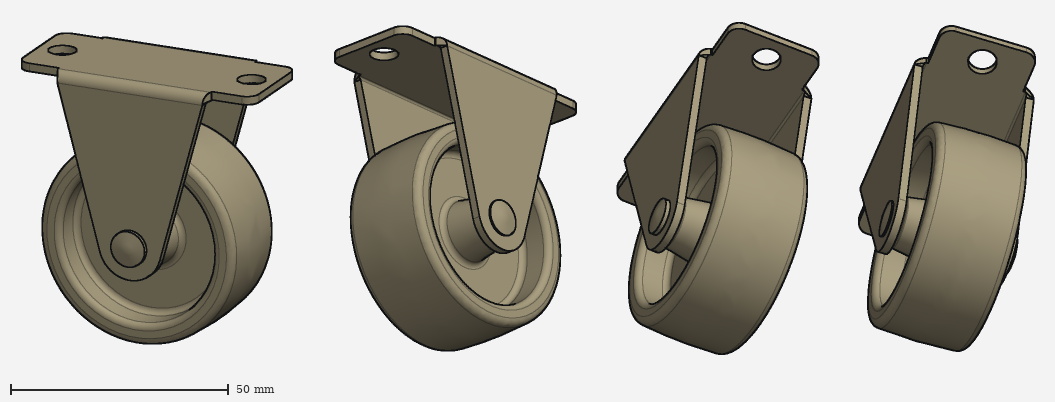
import cadquery as cq
import math


tread_radius = 25.0
tread_crown = 0.5
wheel_width = 22.05
tread_edge_fillet = 1.8
rim_mouth_radius = 19.45
rim_mouth_fillet = 1.55

web_thickness = 5.85
web_fillet = 1.4
hub_root_radius = 7.55
hub_end_radius = 6.1
hub_length = 23.5
hub_end_fillet = 0.2

sheet = 2.0
bend_inner_radius = 0.5
bend_outer_radius = bend_inner_radius + sheet
bracket_width = 29.2
plate_length = 60.0
plate_width = 23.2
plate_corner_radius = 3.0
top_height = 40.0
mount_hole_diameter = 6.6
mount_hole_spacing = 48.1
bend_half_length = 19.5
leg_top_half_length = 18.45
leg_end_radius = 7.85

shank_radius = 3.1
head_radius = 4.3
front_head_rim = 1.1
back_head_rim = 0.4
head_cone_height = 0.9


def fillet_circles(body, radius, half_width, size):
    """Round the two circular edges of a given radius at Y = -half_width and +half_width."""
    margin = 0.005
    for y in (-half_width, half_width):
        box = cq.selectors.BoxSelector(
            (-radius - margin, y - margin, -radius - margin),
            (radius + margin, y + margin, radius + margin),
            boundingbox=True,
        )
        outermost = cq.selectors.RadiusNthSelector(-1)
        body = body.newObject([body.edges(box).edges(outermost).val()]).fillet(size)
    return body


def make_wheel():
    """Crowned tyre, dished rim, web and tapered hub, turned as one profile about the Y axis."""
    half_width = wheel_width / 2
    half_web = web_thickness / 2
    half_hub = hub_length / 2
    shoulder_radius = tread_radius - tread_crown
    wheel = (
        cq.Workplane("XY")
        .moveTo(shank_radius, -half_hub)
        .lineTo(hub_end_radius, -half_hub)
        .lineTo(hub_root_radius, -half_web)
        .lineTo(rim_mouth_radius, -half_web)
        .lineTo(rim_mouth_radius, -half_width)
        .lineTo(shoulder_radius, -half_width)
        .threePointArc((tread_radius, 0), (shoulder_radius, half_width))
        .lineTo(rim_mouth_radius, half_width)
        .lineTo(rim_mouth_radius, half_web)
        .lineTo(hub_root_radius, half_web)
        .lineTo(hub_end_radius, half_hub)
        .lineTo(shank_radius, half_hub)
        .close()
        .revolve(360, (0, 0, 0), (0, 1, 0))
    )
    wheel = fillet_circles(wheel, shoulder_radius, half_width, tread_edge_fillet)
    wheel = fillet_circles(wheel, rim_mouth_radius, half_width, rim_mouth_fillet)
    wheel = fillet_circles(wheel, rim_mouth_radius, half_web, web_fillet)
    wheel = fillet_circles(wheel, hub_root_radius, half_web, web_fillet)
    wheel = fillet_circles(wheel, hub_end_radius, half_hub, hub_end_fillet)
    return wheel


def make_channel():
    """Full-length U of bent sheet, open downward, reaching to the bottom of the legs."""
    height = top_height + leg_end_radius
    middle = top_height - height / 2

    def block(width, drop, radius):
        return (
            cq.Workplane("XY")
            .box(plate_length, width, height)
            .edges("|X and >Z")
            .fillet(radius)
            .translate((0, 0, middle - drop))
        )

    outside = block(bracket_width, 0, bend_outer_radius)
    inside = block(bracket_width - 2 * sheet, sheet, bend_inner_radius)
    return outside.cut(inside)


def make_side_outline():
    """Outline along Y: round leg end, tangent straight sides, and a flare to the bend length at the plate."""
    leg_top = top_height - bend_outer_radius
    corner_distance = math.hypot(leg_top_half_length, leg_top)
    tangent_angle = math.atan2(leg_top, leg_top_half_length) - math.acos(leg_end_radius / corner_distance)
    tangent_x = leg_end_radius * math.cos(tangent_angle)
    tangent_z = leg_end_radius * math.sin(tangent_angle)
    return (
        cq.Workplane("XZ")
        .moveTo(bend_half_length, top_height)
        .lineTo(bend_half_length, top_height - sheet)
        .lineTo(leg_top_half_length, leg_top)
        .lineTo(tangent_x, tangent_z)
        .threePointArc((0, -leg_end_radius), (-tangent_x, tangent_z))
        .lineTo(-leg_top_half_length, leg_top)
        .lineTo(-bend_half_length, top_height - sheet)
        .lineTo(-bend_half_length, top_height)
        .close()
        .extrude(bracket_width / 2, both=True)
    )


def make_plan_outline():
    """Outline along Z: straight over the plate, narrowing across each bend to the leg length."""
    outer_y = bracket_width / 2
    bend_y = outer_y - bend_outer_radius
    return (
        cq.Workplane("XY")
        .workplane(offset=-leg_end_radius)
        .moveTo(bend_half_length, -bend_y)
        .lineTo(bend_half_length, bend_y)
        .lineTo(leg_top_half_length, outer_y)
        .lineTo(-leg_top_half_length, outer_y)
        .lineTo(-bend_half_length, bend_y)
        .lineTo(-bend_half_length, -bend_y)
        .lineTo(-leg_top_half_length, -outer_y)
        .lineTo(leg_top_half_length, -outer_y)
        .close()
        .extrude(top_height + leg_end_radius)
    )


def make_plate():
    """Mounting plate with rounded corners."""
    return (
        cq.Workplane("XY")
        .workplane(offset=top_height - sheet)
        .rect(plate_length, plate_width)
        .extrude(sheet)
        .edges("|Z")
        .fillet(plate_corner_radius)
    )


def make_bracket():
    """Mounting plate with two legs bent down, two mounting holes and the axle holes."""
    legs = make_channel().intersect(make_side_outline()).intersect(make_plan_outline())
    bracket = make_plate().union(legs)
    mount_holes = (
        cq.Workplane("XY")
        .workplane(offset=top_height - sheet)
        .pushPoints([(-mount_hole_spacing / 2, 0), (mount_hole_spacing / 2, 0)])
        .circle(mount_hole_diameter / 2)
        .extrude(sheet)
    )
    axle_hole = cq.Workplane("XZ").circle(shank_radius).extrude(bracket_width / 2, both=True)
    return bracket.cut(mount_holes).cut(axle_hole)


def make_pin():
    """Axle pin: plain shank with a shallow conical head outside each leg."""
    outer_y = bracket_width / 2
    front_rim_y = -outer_y - front_head_rim
    back_rim_y = outer_y + back_head_rim
    return (
        cq.Workplane("XY")
        .moveTo(0, front_rim_y - head_cone_height)
        .lineTo(head_radius, front_rim_y)
        .lineTo(head_radius, -outer_y)
        .lineTo(shank_radius, -outer_y)
        .lineTo(shank_radius, outer_y)
        .lineTo(head_radius, outer_y)
        .lineTo(head_radius, back_rim_y)
        .lineTo(0, back_rim_y + head_cone_height)
        .close()
        .revolve(360, (0, 0, 0), (0, 1, 0))
    )


bracket = make_bracket()
wheel = make_wheel()
pin = make_pin()

result = cq.Compound.makeCompound([bracket.val(), wheel.val(), pin.val()])